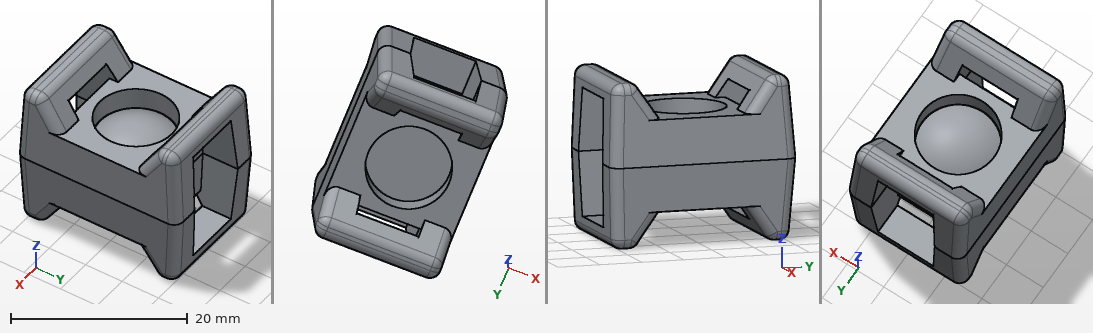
import cadquery as cq
import math

LENGTH = 22.15
WIDTH = 15.7
MOUNT_HEIGHT = 9.5
WEB_HEIGHT = 5.3
WEB_LENGTH = 12.55
RAIL_GAP = 10.2
RAIL_LEAN = 35.0
EDGE_RADIUS = 1.26

DRAFT_LEFT = 0.9
DRAFT_RIGHT = 2.9
DRAFT_FRONT = 2.2
DRAFT_BACK = 4.4

WINDOW_WIDTH = 8.65
WINDOW_TOP_WIDTH = 7.53
WINDOW_HEIGHT = 7.4

RECESS_X = -0.09
RECESS_DIAMETER = 9.85
RECESS_DEPTH = 2.85
DOME_DIAMETER = 9.75
DOME_HEIGHT = 1.77
RECESS_FLOOR = WEB_HEIGHT - RECESS_DEPTH


def run(angle, height):
    """Sideways shift of a face that leans by angle degrees over a height."""
    return height * math.tan(math.radians(angle))


def drafted_block(height):
    """Block over the whole length, with the drafted -X and +X sides."""
    side = WIDTH / 2
    return (
        cq.Workplane("XZ", origin=(0, LENGTH / 2, 0))
        .polyline([
            (-side, 0),
            (side, 0),
            (side - run(DRAFT_RIGHT, height), height),
            (-side + run(DRAFT_LEFT, height), height),
        ])
        .close()
        .extrude(LENGTH)
    )


def rail(direction, draft):
    """Rounded rail on the +Y (direction 1) or -Y (direction -1) end."""
    inner_base = RAIL_GAP / 2 - run(RAIL_LEAN, WEB_HEIGHT)
    inner_top = inner_base + run(RAIL_LEAN, MOUNT_HEIGHT)
    outer_base = LENGTH / 2
    outer_top = outer_base - run(draft, MOUNT_HEIGHT)
    profile = (
        cq.Workplane("YZ", origin=(-WIDTH / 2, 0, 0))
        .polyline([
            (direction * inner_base, 0),
            (direction * outer_base, 0),
            (direction * outer_top, MOUNT_HEIGHT),
            (direction * inner_top, MOUNT_HEIGHT),
        ])
        .close()
        .extrude(WIDTH)
    )
    sharp_rail = profile.intersect(drafted_block(MOUNT_HEIGHT))
    return sharp_rail.edges("not <Z").fillet(EDGE_RADIUS)


def platform():
    """Block between the rails, long enough to run into both of them."""
    length = RAIL_GAP + 2 * run(RAIL_LEAN, MOUNT_HEIGHT - WEB_HEIGHT)
    slab = cq.Workplane("XY").box(WIDTH, length, WEB_HEIGHT, centered=(True, True, False))
    return slab.intersect(drafted_block(WEB_HEIGHT))


def tie_window():
    """Tapered opening along Y through both rails, going around the platform's web."""
    tunnel = (
        cq.Workplane("XZ", origin=(0, LENGTH / 2, 0))
        .polyline([
            (-WINDOW_WIDTH / 2, 0),
            (WINDOW_WIDTH / 2, 0),
            (WINDOW_TOP_WIDTH / 2, WINDOW_HEIGHT),
            (-WINDOW_TOP_WIDTH / 2, WINDOW_HEIGHT),
        ])
        .close()
        .extrude(LENGTH)
    )
    web = cq.Workplane("XY").box(WIDTH, WEB_LENGTH, WEB_HEIGHT, centered=(True, True, False))
    return tunnel.cut(web)


def recess_disc(diameter):
    """Disc from the recess floor up to the top of the platform."""
    return (
        cq.Workplane("XY", origin=(RECESS_X, 0, RECESS_FLOOR))
        .circle(diameter / 2)
        .extrude(RECESS_DEPTH)
    )


def make_mount():
    """Upper mount: two rails with a tie window, joined by the platform."""
    rails = rail(1, DRAFT_BACK).union(rail(-1, DRAFT_FRONT))
    return rails.union(platform()).cut(tie_window()).cut(recess_disc(RECESS_DIAMETER))


def make_domed_head():
    """Spherical cap that rests on the recess floor, with a thin gap to the wall."""
    rim_radius = DOME_DIAMETER / 2
    sphere_radius = (rim_radius**2 + DOME_HEIGHT**2) / (2 * DOME_HEIGHT)
    sphere_centre = RECESS_FLOOR + DOME_HEIGHT - sphere_radius
    sphere = cq.Workplane("YZ", origin=(RECESS_X, 0, sphere_centre)).sphere(sphere_radius)
    return sphere.intersect(recess_disc(DOME_DIAMETER))


upper_mount = make_mount()
lower_mount = upper_mount.mirror("XY")
domed_head = make_domed_head()

result = cq.Compound.makeCompound([upper_mount.val(), lower_mount.val(), domed_head.val()])